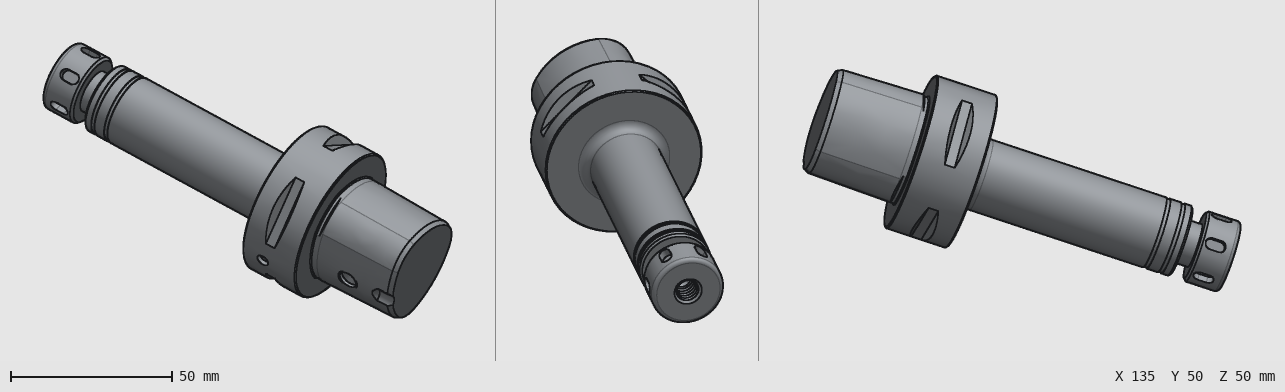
import cadquery as cq
import math


total_length = 135.0
nut_length = 11.5
body_start = 15.9
flange_start = 85.0
flange_length = 20.0
flange_end = flange_start + flange_length

nut_diameter = 23.0
neck_diameter = 14.0
body_diameter = 23.0
flange_diameter = 50.0

nut_front_round = 1.4
nut_back_chamfer = 0.8
body_chamfer = 0.7
flange_chamfer = 0.4
flange_foot_round = 3.1

groove_starts = (18.6, 23.5)
groove_width = 1.2
groove_depth = 0.3

slot_count = 6
slot_length = 6.5
slot_width = 3.6
slot_depth = 2.5
slot_center_x = 6.6

thread_minor_diameter = 7.0
thread_major_diameter = 8.8
thread_pitch = 1.5
thread_turns = 5
center_cone_diameter = 5.5
center_hole_diameter = 1.8
center_hole_depth = 2.0
center_cone_angle = 60.0

gripper_angles = (45, 135, 225, 315)
gripper_x = 94.8
gripper_floor_width = 3.2
gripper_floor_chord = 23.0
gripper_wall_angle = 30.0
coding_hole_x = 92.7
coding_hole_diameter = 4.0
coding_hole_depth = 1.6

shank_mean_radius = 17.5
lobe_height = 1.0
lobe_angles = (0, 120, 240)
taper_start = 107.3
taper_ratio = 1 / 40
end_chamfer_length = 1.6
end_chamfer_height = 0.8
relief_radius = 17.7
relief_flat_end = 106.5
root_chamfer = 0.4

side_hole_x = 118.8
side_hole_diameter = 6.1
side_hole_mouth_diameter = 7.0
side_hole_mouth_depth = 0.1
side_hole_depth = 1.4
end_slot_diameter = 7.3
end_slot_width = 6.1
end_slot_tip_angle = 90.0
end_slot_length = 5.4

drill_point_angle = 118.0


def cone_height(diameter, included_angle):
    """Height of a pointed cone with the given base diameter and tip angle."""
    return diameter / 2 / math.tan(math.radians(included_angle / 2))


def turned(points):
    """Solid of revolution about the X axis from (x, radius) points."""
    return cq.Workplane("XY").polyline(points).close().revolve(360, (0, 0, 0), (1, 0, 0))


def drill(diameter, depth, tip_angle=drill_point_angle):
    """Drill-shaped cutter along +Z: full diameter from Z = 0 to depth, then a conical point."""
    radius = diameter / 2
    tip = depth + cone_height(diameter, tip_angle)
    outline = [(0, 0), (radius, 0), (radius, depth), (0, tip)]
    return cq.Workplane("XZ").polyline(outline).close().revolve(360, (0, 0, 0), (0, 1, 0))


def nut():
    blank = cq.Workplane("YZ").circle(nut_diameter / 2).extrude(nut_length)
    blank = blank.faces("<X").edges().fillet(nut_front_round)
    blank = blank.faces(">X").edges().chamfer(nut_back_chamfer)
    cutter = (
        cq.Workplane("XY", origin=(slot_center_x, 0, nut_diameter / 2 - slot_depth))
        .slot2D(slot_length, slot_width)
        .extrude(2 * slot_depth)
    )
    for i in range(slot_count):
        blank = blank.cut(cutter.rotate((0, 0, 0), (1, 0, 0), 90 + i * 360 / slot_count))
    return blank


def neck_and_body():
    neck = (
        cq.Workplane("YZ", origin=(nut_length, 0, 0))
        .circle(neck_diameter / 2)
        .extrude(body_start - nut_length)
    )
    body = (
        cq.Workplane("YZ", origin=(body_start, 0, 0))
        .circle(body_diameter / 2)
        .extrude(flange_start - body_start)
        .faces("<X").edges().chamfer(body_chamfer)
    )
    for start in groove_starts:
        groove = (
            cq.Workplane("YZ", origin=(start, 0, 0))
            .circle(body_diameter / 2 + groove_depth)
            .circle(body_diameter / 2 - groove_depth)
            .extrude(groove_width)
        )
        body = body.cut(groove)
    return neck.union(body)


def flange():
    disc = (
        cq.Workplane("YZ", origin=(flange_start, 0, 0))
        .circle(flange_diameter / 2)
        .extrude(flange_length)
        .edges().chamfer(flange_chamfer)
    )
    floor_radius = math.sqrt((flange_diameter / 2) ** 2 - (gripper_floor_chord / 2) ** 2)
    height = flange_diameter / 2 - floor_radius
    half_floor = gripper_floor_width / 2
    half_mouth = half_floor + height * math.tan(math.radians(gripper_wall_angle))
    cutter = (
        cq.Workplane("XZ", origin=(gripper_x, 0, floor_radius))
        .polyline([(-half_floor, 0), (half_floor, 0), (half_mouth, height), (-half_mouth, height)])
        .close()
        .extrude(flange_diameter / 2, both=True)
    )
    for angle in gripper_angles:
        disc = disc.cut(cutter.rotate((0, 0, 0), (1, 0, 0), angle))

    coding_hole = (
        drill(coding_hole_diameter, coding_hole_depth)
        .rotate((0, 0, 0), (1, 0, 0), -90)
        .translate((coding_hole_x, -flange_diameter / 2, 0))
    )
    return disc.cut(coding_hole)


def foot_round():
    """Concave round between the body and the flange face."""
    radius = body_diameter / 2
    mid = flange_foot_round * (1 - math.sqrt(0.5))
    return (
        cq.Workplane("XY")
        .moveTo(flange_start - flange_foot_round, radius)
        .threePointArc((flange_start - mid, radius + mid), (flange_start, radius + flange_foot_round))
        .lineTo(flange_start, 0)
        .lineTo(flange_start - flange_foot_round, 0)
        .close()
        .revolve(360, (0, 0, 0), (1, 0, 0))
    )


def polar(radius, degrees):
    """Y and Z of a point given by its distance from the axis and its angle from +Y."""
    angle = math.radians(degrees)
    return cq.Vector(0, radius * math.cos(angle), radius * math.sin(angle))


def lobed_wire(x, inset):
    """Constant-width outline of six tangent arcs at x, moved inward by inset."""
    half_span = 30
    cos_half = math.cos(math.radians(half_span))
    center_distance = lobe_height / (1 - cos_half)
    lobe_radius = shank_mean_radius - inset - center_distance * cos_half
    flat_radius = shank_mean_radius - inset + center_distance * cos_half
    origin = cq.Vector(x, 0, 0)

    def arc(center, radius, middle):
        angles = (middle - half_span, middle, middle + half_span)
        return cq.Edge.makeThreePointArc(*[origin + center + polar(radius, a) for a in angles])

    edges = []
    for angle in lobe_angles:
        edges.append(arc(polar(center_distance, angle), lobe_radius, angle))
        edges.append(arc(polar(center_distance, angle + 240), flat_radius, angle + 60))
    return cq.Wire.assembleEdges(edges)


def shank():
    chamfer_start = total_length - end_chamfer_length
    taper_inset = (chamfer_start - taper_start) * taper_ratio
    sections = [
        lobed_wire(flange_end, -root_chamfer),
        lobed_wire(flange_end + root_chamfer, 0),
        lobed_wire(taper_start, 0),
        lobed_wire(chamfer_start, taper_inset),
        lobed_wire(total_length, taper_inset + end_chamfer_height),
    ]
    solid = cq.Workplane(cq.Solid.makeLoft(sections, True))

    outside = shank_mean_radius + 2 * lobe_height
    relief = turned(
        [
            (flange_end, relief_radius + root_chamfer),
            (flange_end + root_chamfer, relief_radius),
            (relief_flat_end, relief_radius),
            (taper_start, shank_mean_radius + lobe_height),
            (taper_start, outside),
            (flange_end, outside),
        ]
    )
    solid = solid.cut(relief)

    flat_radius = shank_mean_radius - lobe_height
    hole_surface = flat_radius - (side_hole_x - taper_start) * taper_ratio
    mouth = cq.Workplane("XY", origin=(0, 0, -1.4)).circle(side_hole_mouth_diameter / 2)
    mouth = mouth.extrude(1.4 + side_hole_mouth_depth)
    side_hole = (
        drill(side_hole_diameter, side_hole_depth)
        .union(mouth)
        .rotate((0, 0, 0), (1, 0, 0), -90)
        .translate((side_hole_x, -hole_surface, 0))
    )

    slot_radius = end_slot_diameter / 2
    axis_height = math.sqrt(slot_radius**2 - (end_slot_width / 2) ** 2)
    end_slot = (
        drill(end_slot_diameter, end_slot_length, end_slot_tip_angle)
        .rotate((0, 0, 0), (0, 1, 0), -90)
        .translate((total_length, -(flat_radius - taper_inset + axis_height), 0))
    )
    return solid.cut(side_hole).cut(end_slot)


def collet_bore():
    """Threaded bore modelled as ring grooves, ending in a centre hole with a conical mouth."""
    minor = thread_minor_diameter / 2
    major = thread_major_diameter / 2
    outline = [(0, 0), (0, major)]
    for i in range(thread_turns):
        outline.append(((i + 0.5) * thread_pitch, minor))
        outline.append(((i + 1) * thread_pitch, major))
    bore_end = (thread_turns + 0.5) * thread_pitch
    cone_length = cone_height(center_cone_diameter - center_hole_diameter, center_cone_angle)
    hole_end = bore_end + cone_length + center_hole_depth
    outline += [
        (bore_end, minor),
        (bore_end, center_cone_diameter / 2),
        (bore_end + cone_length, center_hole_diameter / 2),
        (hole_end, center_hole_diameter / 2),
        (hole_end, 0),
    ]
    return turned(outline)


result = nut().union(neck_and_body()).union(foot_round()).union(flange()).union(shank())
result = result.cut(collet_bore())